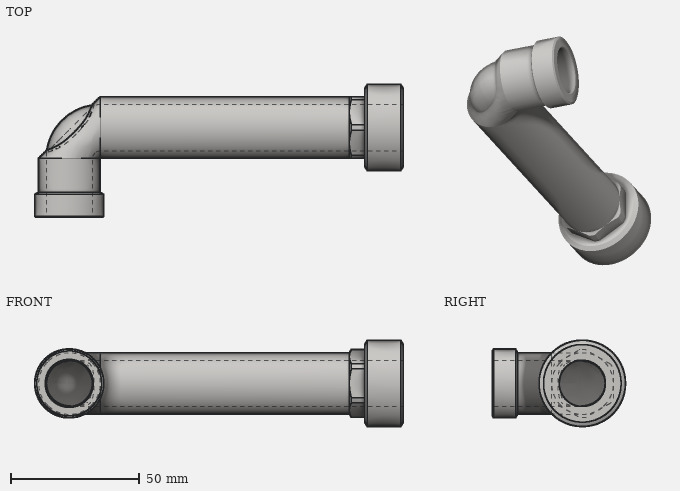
import cadquery as cq
import math

tube_diameter = 24.0
bore_diameter = 18.0
tube_radius = tube_diameter / 2
bore_radius = bore_diameter / 2

chamfer_angle = math.radians(60)

outlet_end = 35.0
sleeve_shoulder = 9.0
sleeve_radius = 26.9 / 2
sleeve_back_radius = 23.0 / 2
sleeve_back_chamfer = (sleeve_radius - sleeve_back_radius) / math.tan(chamfer_angle)
sleeve_face_radius = 25.3 / 2
sleeve_face_chamfer = (sleeve_radius - sleeve_face_radius) / math.tan(chamfer_angle)
bore_chamfer = 0.35

tube_end = 130.0
collar_length = 15.0
collar_radius = 33.7 / 2
collar_chamfer = 1.0
collar_end_radius = collar_radius - collar_chamfer * math.tan(chamfer_angle)
hex_length = 6.0
hex_across_flats = 24.0
hex_corner_radius = 26.5 / 2
hex_chamfer = 0.8

bend_wall = 0.7


def revolved_about_x(profile):
    """Solid of revolution about X from (x, radius) points; the ends close on the axis."""
    points = [(profile[0][0], 0)] + profile + [(profile[-1][0], 0)]
    return cq.Workplane("XY").polyline(points).close().revolve(360, (0, 0, 0), (1, 0, 0))


def revolved_about_y(profile):
    """Solid of revolution about Y from (radius, y) points; the ends close on the axis."""
    points = [(0, profile[0][1])] + profile + [(0, profile[-1][1])]
    return cq.Workplane("XY").polyline(points).close().revolve(360, (0, 0, 0), (0, 1, 0))


def elbow_link(radius):
    """Oblique cylinder joining the circular ends of the two tube legs."""
    tube_face = cq.Plane(origin=(tube_radius, 0, 0), xDir=(0, -1, 0), normal=(-1, 0, 0))
    circle = cq.Workplane(tube_face).circle(radius).wires().val()
    travel = 2 * tube_diameter
    bar = cq.Solid.extrudeLinear(circle, [], cq.Vector(-travel, -travel, 0))
    beyond_outlet_face = cq.Workplane("XY", origin=(0, -tube_radius - travel, 0)).box(
        4 * travel, 2 * travel, 2 * travel
    )
    return cq.Workplane(bar).cut(beyond_outlet_face)


def elbow_ring(radius):
    """Quarter ring around the inside corner of the elbow."""
    return (
        cq.Workplane("YZ", origin=(tube_radius, 0, 0))
        .circle(radius)
        .revolve(90, (-tube_radius, 0, 0), (-tube_radius, 1, 0))
    )


def long_leg():
    """Leg along +X, running through the hexagon and the collar."""
    return revolved_about_x([(tube_radius, tube_radius), (tube_end, tube_radius)])


def collar():
    """Round collar with equal chamfers on both rims."""
    back = tube_end - collar_length
    return revolved_about_x([
        (back, collar_end_radius),
        (back + collar_chamfer, collar_radius),
        (tube_end - collar_chamfer, collar_radius),
        (tube_end, collar_end_radius),
    ])


def hexagon():
    """Hexagon behind the collar with turned corners and flats facing +Y and -Y."""
    front = tube_end - collar_length
    back = front - hex_length
    across_corners = hex_across_flats / math.cos(math.radians(30))
    prism = (
        cq.Workplane("YZ", origin=(back, 0, 0))
        .polygon(6, across_corners)
        .extrude(hex_length)
        .rotate((0, 0, 0), (1, 0, 0), 90)
    )
    turned = revolved_about_x([
        (back, tube_radius),
        (back + hex_chamfer, hex_corner_radius),
        (front, hex_corner_radius),
    ])
    return prism.intersect(turned)


def outlet_leg():
    """Leg along -Y, ending inside the sleeve."""
    end = -outlet_end + sleeve_shoulder / 2
    return revolved_about_y([(tube_radius, -tube_radius), (tube_radius, end)])


def outlet_sleeve():
    """Sleeve over the end of the outlet leg; its back cone starts inside the leg."""
    shoulder = -outlet_end + sleeve_shoulder
    return revolved_about_y([
        (sleeve_back_radius, shoulder + sleeve_back_chamfer),
        (sleeve_radius, shoulder),
        (sleeve_radius, -outlet_end + sleeve_face_chamfer),
        (sleeve_face_radius, -outlet_end),
    ])


def bore():
    """Round passage through both legs, with a curved bend clipped to keep a wall in the elbow."""
    outlet = revolved_about_y([
        (bore_radius, -tube_radius),
        (bore_radius, -outlet_end + bore_chamfer),
        (bore_radius + bore_chamfer, -outlet_end),
    ])
    tube = revolved_about_x([(tube_radius, bore_radius), (tube_end, bore_radius)])
    bend = elbow_ring(bore_radius).intersect(elbow_link(tube_radius - bend_wall))
    return outlet.union(bend).union(tube)


body = elbow_link(tube_radius).union(elbow_ring(bore_radius))
body = body.union(long_leg()).union(outlet_leg()).union(outlet_sleeve())
body = body.union(hexagon()).union(collar())
result = body.cut(bore())